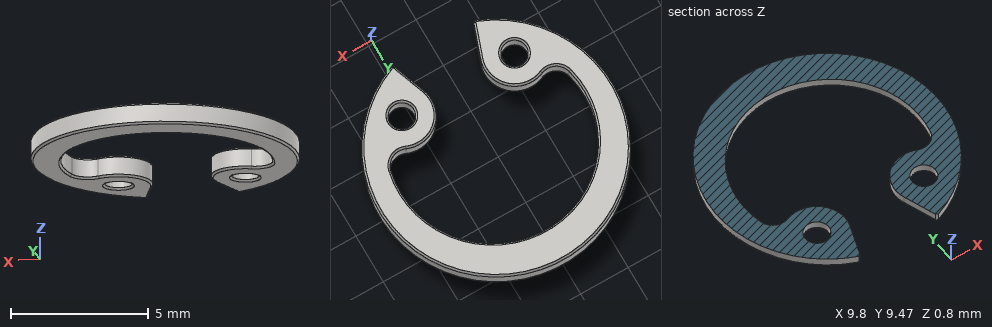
import cadquery as cq
import math

outer_radius = 4.9
thickness = 0.8
inner_radius = 3.86
inner_offset = 0.26
lug_radius = 1.25
lug_x = 2.37
lug_y = -2.76
hole_diameter = 1.0
root_fillet_radius = 0.65
tip_x = 1.7
edge_chamfer = 0.08


def point_toward(start, end, distance):
    """Point at the given distance from start along the direction to end."""
    length = math.dist(start, end)
    return tuple(a + (b - a) * distance / length for a, b in zip(start, end))


def circle_crossing(center_a, radius_a, center_b, radius_b):
    """Crossing of two circles on the left of the line from center_a to center_b."""
    gap = math.dist(center_a, center_b)
    along = (gap**2 + radius_a**2 - radius_b**2) / (2 * gap)
    aside = math.sqrt(radius_a**2 - along**2)
    ux, uy = point_toward((0, 0), (center_b[0] - center_a[0], center_b[1] - center_a[1]), 1)
    return (center_a[0] + along * ux - aside * uy, center_a[1] + along * uy + aside * ux)


def mirrored(point):
    return (-point[0], point[1])


bore_center = (0, -inner_offset)
bore_top = (0, inner_radius - inner_offset)
lug_center = (lug_x, lug_y)
tip = (tip_x, -math.sqrt(outer_radius**2 - tip_x**2))

fillet_center = circle_crossing(
    bore_center, inner_radius - root_fillet_radius,
    lug_center, lug_radius + root_fillet_radius,
)
bore_end = point_toward(bore_center, fillet_center, inner_radius)
fillet_end = point_toward(fillet_center, lug_center, root_fillet_radius)
fillet_middle = point_toward(
    fillet_center,
    ((bore_end[0] + fillet_end[0]) / 2, (bore_end[1] + fillet_end[1]) / 2),
    root_fillet_radius,
)

tip_distance = math.dist(lug_center, tip)
tip_direction = math.atan2(tip[1] - lug_y, tip[0] - lug_x)
tangent_angle = tip_direction - math.acos(lug_radius / tip_distance)
lug_end = (
    lug_x + lug_radius * math.cos(tangent_angle),
    lug_y + lug_radius * math.sin(tangent_angle),
)
lug_middle = point_toward(
    lug_center,
    ((fillet_end[0] + lug_end[0]) / 2, (fillet_end[1] + lug_end[1]) / 2),
    lug_radius,
)

ring = (
    cq.Workplane("XY")
    .moveTo(*tip)
    .threePointArc((0, outer_radius), mirrored(tip))
    .lineTo(*mirrored(lug_end))
    .threePointArc(mirrored(lug_middle), mirrored(fillet_end))
    .threePointArc(mirrored(fillet_middle), mirrored(bore_end))
    .threePointArc(bore_top, bore_end)
    .threePointArc(fillet_middle, fillet_end)
    .threePointArc(lug_middle, lug_end)
    .close()
    .extrude(thickness / 2, both=True)
)

holes = (
    cq.Workplane("XY")
    .pushPoints([lug_center, mirrored(lug_center)])
    .circle(hole_diameter / 2)
    .extrude(thickness / 2, both=True)
)

ring = ring.edges("|Z").edges("<Y").chamfer(edge_chamfer)

result = ring.cut(holes).faces("|Z").chamfer(edge_chamfer)